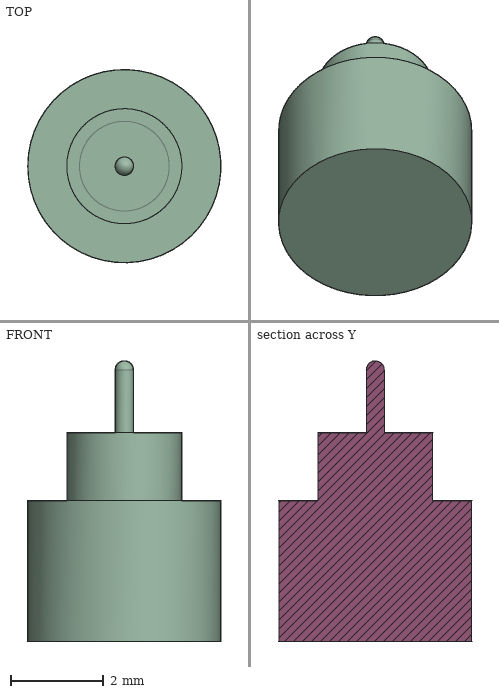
import cadquery as cq
import math

total_height = 6.1
base_diameter = 4.2
base_height = 3.06
collar_diameter = 2.5
collar_height = 1.48
core_diameter = 1.95
pin_diameter = 0.4

base_radius = base_diameter / 2
collar_radius = collar_diameter / 2
core_radius = core_diameter / 2
pin_radius = pin_diameter / 2
collar_top = base_height + collar_height
dome_start = total_height - pin_radius
dome_mid_offset = pin_radius * math.sqrt(0.5)


def half_profile():
    """Closed half section on the -X side of the axis, in the XZ plane."""
    return (
        cq.Workplane("XZ")
        .moveTo(0, 0)
        .lineTo(-base_radius, 0)
        .lineTo(-base_radius, base_height)
        .lineTo(-collar_radius, base_height)
        .lineTo(-collar_radius, collar_top)
        .lineTo(-core_radius, collar_top)
        .lineTo(-pin_radius, collar_top)
        .lineTo(-pin_radius, dome_start)
        .threePointArc(
            (-dome_mid_offset, dome_start + dome_mid_offset),
            (0, total_height),
        )
        .close()
    )


result = half_profile().revolve(360, (0, 0), (0, 1), clean=False)